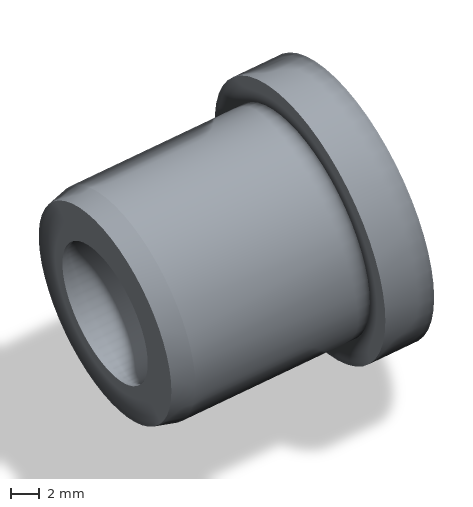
import cadquery as cq
import math

total_length = 20.0
flange_diameter = 22.0
flange_thickness = 4.0
body_diameter = 18.0
bore_diameter = 11.0

taper_angle = 15.0
taper_depth = 0.45
taper_length = taper_depth / math.tan(math.radians(taper_angle))

flange_radius = flange_diameter / 2
body_radius = body_diameter / 2
bore_radius = bore_diameter / 2
tip_radius = body_radius - taper_depth
shoulder_y = total_length - flange_thickness


def make_bushing():
    """Revolve the half section, drawn as (radius, Y), around the Y axis."""
    half_section = [
        (bore_radius, 0),
        (tip_radius, 0),
        (body_radius, taper_length),
        (body_radius, shoulder_y),
        (flange_radius, shoulder_y),
        (flange_radius, total_length),
        (bore_radius, total_length),
    ]
    axis_start = (0, 0)
    axis_end = (0, 1)
    profile = cq.Workplane("XY").polyline(half_section).close()
    return profile.revolve(360, axis_start, axis_end)


result = make_bushing()